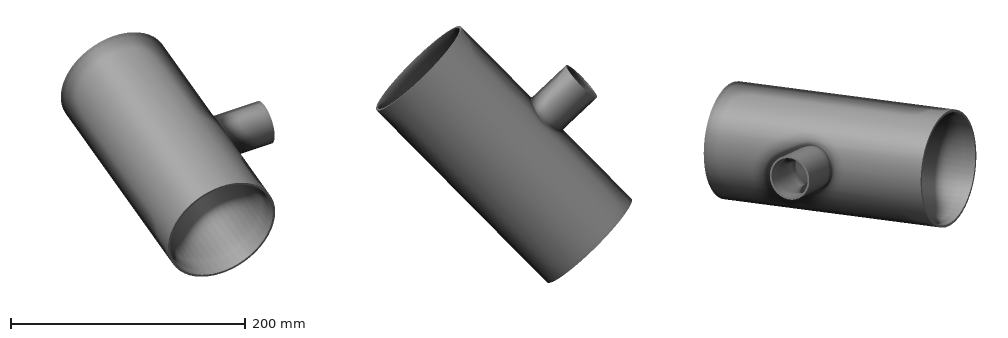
import cadquery as cq

run_length = 209.5
run_outer_diameter = 101.6
run_inner_diameter = 97.5

overall_depth = 143.0
branch_outer_diameter = 38.1
branch_inner_diameter = 34.8
weld_radius = 1.5

branch_reach = overall_depth - run_outer_diameter / 2


def run_cylinder(diameter):
    """Cylinder on the X axis over the full length of the main tube."""
    return cq.Workplane("YZ").circle(diameter / 2).extrude(run_length / 2, both=True)


def branch_cylinder(diameter):
    """Cylinder from the main tube axis to the open end of the branch."""
    return cq.Workplane("XZ").circle(diameter / 2).extrude(-branch_reach)


outer = run_cylinder(run_outer_diameter).union(branch_cylinder(branch_outer_diameter))
junction_box = cq.selectors.BoxSelector(
    (-branch_outer_diameter, 0, -branch_outer_diameter),
    (branch_outer_diameter, run_outer_diameter / 2, branch_outer_diameter),
)
outer = outer.edges(junction_box).fillet(weld_radius)

result = outer.cut(run_cylinder(run_inner_diameter)).cut(branch_cylinder(branch_inner_diameter))